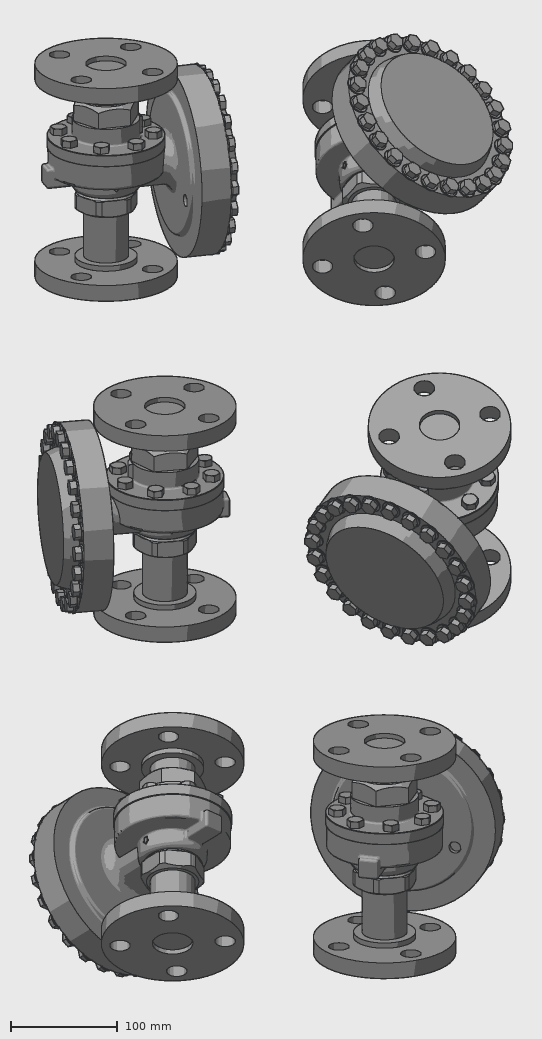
import cadquery as cq
import math


ARC_INSET = 1 - math.sqrt(0.5)

HEX_CHAMFER_ANGLE = math.radians(30)
CORNER_ON_Y = 90
FLAT_ON_X = 30

FACE_TO_FACE = 212.85
FLANGE_RADIUS = 66.7
FLANGE_THICKNESS = 15.9
FLANGE_BOLT_CIRCLE = 98.6
FLANGE_HOLE_DIAMETER = 19.05
FLANGE_HOLES = 4
HUB_RADIUS = 29.1
HUB_HEIGHT = 5.2
BORE_RADIUS = 18.9
BORE_DEPTH = 4.7
PIPE_RADIUS = 21.1

UPPER_HEX_FLATS = 54.7
UPPER_HEX_BOTTOM = 52.3
UPPER_HEX_TOP = 72.0
UPPER_HEX_END_RADIUS = 24.3

COVER_RADIUS = 55.35
COVER_BOTTOM = 23.7
COVER_TOP = 35.1
BOSS_RADIUS = 31.8
COVER_CHAMFER = 0.5
BOSS_FILLET = 1.8
BOSS_RIB_REACH = 34.6
BOSS_RIB_WIDTH = 10.0
BOSS_RIB_TOP = 51.5
BOSS_RIB_ROUND = 2.0
COVER_BOLTS = 8
COVER_BOLT_RADIUS = 44.6
COVER_BOLT_FLATS = 14.0
BOLT_HEAD_HEIGHT = 6.6

BODY_RADIUS = 54.6
BODY_BOTTOM_RADIUS = 54.4
BODY_BOTTOM = -0.3
BODY_EDGE_ROUND = 2.7
CHAMBER_RADIUS = 32.8
CHAMBER_FOOT_RADIUS = 32.2
CHAMBER_ROUND_TOP = -12.5
CHAMBER_BOTTOM = -18.6
CHAMBER_WAIST_RADIUS = 26.8
CHAMBER_TOP_FILLET = 2.2

LOWER_HEX_FLATS = 54.0
LOWER_HEX_CORNER_RADIUS = 29.7
LOWER_HEX_BOTTOM = -38.6
LOWER_HEX_TOP = -21.0
LOWER_HEX_TOP_RADIUS = 28.2
LOWER_HEX_BOTTOM_RADIUS = 24.5

LUG_WIDTH = 19.6
LUG_FRONT = -60.5
LUG_ROOT = -28.0
LUG_BOTTOM = -9.5
LUG_TOP = 9.7
LUG_ROUND = 2.4
LUG_ROOT_FILLET = 2.2

ARROW_TOP = -2.7
ARROW_TIP = -10.2
ARROW_HEAD_LENGTH = 3.4
ARROW_HEAD_HALF = 3.5
ARROW_SHAFT_HALF = 2.0
ARROW_REACH = 33.5
ARROW_ROOT = 30.0

CASING_RADIUS = 89.5
CASING_FRONT = 66.5
CASING_BACK = 95.1
OVERALL_DEPTH = 175.73
DOME_BACK = OVERALL_DEPTH - FLANGE_RADIUS
DOME_BASE_RADIUS = 67.5
DOME_SHOULDER_RADIUS = 65.2
DOME_SHOULDER = 103.0
DOME_END_RADIUS = 62.3
RIDGE_RADIUS = 68.3
RIDGE_FRONT = 62.0
CONE_APEX = 60.9
RIDGE_ROUND = (CASING_FRONT - RIDGE_FRONT) / 2
CASING_BOLTS = 24
CASING_BOLT_RADIUS = 81.5
CASING_BOLT_FLATS = 13.0
WASHER_RADIUS = 9.0
WASHER_THICKNESS = 1.4
CASING_HEAD_TOP = 102.9
VENT_X = 51.5
VENT_Z = -19.0
VENT_RADIUS = 5.6
VENT_DEPTH = 5.0

NECK_WIDTH = 51.6
NECK_HEIGHT = 41.8
NECK_Z = 3.8
NECK_FILLET = 9.5


def disc(radius, bottom, top):
    """Cylinder on the valve axis between two heights."""
    return cq.Workplane("XY").workplane(offset=bottom).circle(radius).extrude(top - bottom)


def corner_radius(flats):
    """Corner radius of a hexagon from its width across flats."""
    return flats / 2 / math.cos(math.pi / 6)


def hexagon(flats, height):
    """Hexagonal prism with a corner on +X, standing on the XY plane."""
    return cq.Workplane("XY").polygon(6, 2 * corner_radius(flats)).extrude(height)


def coned_hexagon(flats, height, turned_radius, end_radius):
    """Hexagonal prism whose corners are turned down and whose top end is coned."""
    drop = (turned_radius - end_radius) * math.tan(HEX_CHAMFER_ANGLE)
    envelope = (
        cq.Workplane("XZ")
        .lineTo(turned_radius, 0)
        .lineTo(turned_radius, height - drop)
        .lineTo(end_radius, height)
        .lineTo(0, height)
        .close()
        .revolve(360, (0, 0, 0), (0, 1, 0))
    )
    return hexagon(flats, height).intersect(envelope)


def turned_about_z(shape, degrees):
    """Shape turned about the Z axis."""
    return shape.rotate((0, 0, 0), (0, 0, 1), degrees)


def mirrored(shape):
    """Shape reflected through the XY plane."""
    return shape.mirror("XY")


def polar_places(count, radius, first_angle):
    """Points evenly spaced on a circle, with their angles in degrees."""
    places = []
    for index in range(count):
        degrees = first_angle + index * 360 / count
        angle = math.radians(degrees)
        places.append((radius * math.cos(angle), radius * math.sin(angle), degrees))
    return places


def make_flange():
    """Flange with its face at the top end; the hub points down."""
    face = FACE_TO_FACE / 2
    back = face - FLANGE_THICKNESS
    flange = disc(FLANGE_RADIUS, back, face)
    for x, y, _ in polar_places(FLANGE_HOLES, FLANGE_BOLT_CIRCLE / 2, 180 / FLANGE_HOLES):
        flange = flange.cut(disc(FLANGE_HOLE_DIAMETER / 2, back, face).translate((x, y, 0)))
    return flange.union(disc(HUB_RADIUS, back - HUB_HEIGHT, back))


def make_bore():
    """Blind bore in the upper flange face."""
    return disc(BORE_RADIUS, FACE_TO_FACE / 2 - BORE_DEPTH, FACE_TO_FACE / 2)


def make_upper_hex():
    """Union hexagon with corners on the Y axis and a coned top end."""
    height = UPPER_HEX_TOP - UPPER_HEX_BOTTOM
    union_hex = coned_hexagon(UPPER_HEX_FLATS, height, corner_radius(UPPER_HEX_FLATS), UPPER_HEX_END_RADIUS)
    return turned_about_z(union_hex, CORNER_ON_Y).translate((0, 0, UPPER_HEX_BOTTOM))


def make_lower_hex():
    """Union hexagon with corners on the Y axis, built as two halves coned at their outer ends."""
    half = (LOWER_HEX_TOP - LOWER_HEX_BOTTOM) / 2
    upper = coned_hexagon(LOWER_HEX_FLATS, half, LOWER_HEX_CORNER_RADIUS, LOWER_HEX_TOP_RADIUS)
    lower = coned_hexagon(LOWER_HEX_FLATS, half, LOWER_HEX_CORNER_RADIUS, LOWER_HEX_BOTTOM_RADIUS)
    union_hex = upper.union(mirrored(lower)).clean()
    return turned_about_z(union_hex, CORNER_ON_Y).translate((0, 0, LOWER_HEX_BOTTOM + half))


def make_cover():
    """Bolted cover with a filleted boss and a small rib on the boss's +Y side."""
    plate = disc(COVER_RADIUS, COVER_BOTTOM, COVER_TOP).faces("<Z or >Z").chamfer(COVER_CHAMFER)
    cover = plate.union(disc(BOSS_RADIUS, COVER_TOP, UPPER_HEX_BOTTOM))
    boss_foot = cq.selectors.RadiusNthSelector(0)
    cover = cover.faces("<Z[-2]").edges(boss_foot).fillet(BOSS_FILLET)
    rib = (
        cq.Workplane("XY")
        .workplane(offset=COVER_BOTTOM)
        .rect(BOSS_RIB_WIDTH, BOSS_RIB_REACH, centered=(True, False))
        .extrude(BOSS_RIB_TOP - COVER_BOTTOM)
        .edges(">Y and (not <Z)")
        .fillet(BOSS_RIB_ROUND)
    )
    cover = cover.union(rib)
    bolt_corner = corner_radius(COVER_BOLT_FLATS)
    head = coned_hexagon(COVER_BOLT_FLATS, BOLT_HEAD_HEIGHT, bolt_corner, COVER_BOLT_FLATS / 2)
    for x, y, degrees in polar_places(COVER_BOLTS, COVER_BOLT_RADIUS, 180 / COVER_BOLTS):
        cover = cover.union(turned_about_z(head, degrees).translate((x, y, COVER_TOP)))
    return cover


def make_body():
    """Tapered body with a rounded lower edge, above a narrower round-bottomed chamber."""
    body_arc = BODY_EDGE_ROUND * ARC_INSET
    fillet_arc = CHAMBER_TOP_FILLET * ARC_INSET
    return (
        cq.Workplane("XZ")
        .moveTo(0, COVER_BOTTOM)
        .lineTo(BODY_RADIUS, COVER_BOTTOM)
        .lineTo(BODY_BOTTOM_RADIUS, BODY_BOTTOM + BODY_EDGE_ROUND)
        .threePointArc(
            (BODY_BOTTOM_RADIUS - body_arc, BODY_BOTTOM + body_arc),
            (BODY_BOTTOM_RADIUS - BODY_EDGE_ROUND, BODY_BOTTOM),
        )
        .lineTo(CHAMBER_RADIUS + CHAMBER_TOP_FILLET, BODY_BOTTOM)
        .threePointArc(
            (CHAMBER_RADIUS + fillet_arc, BODY_BOTTOM - fillet_arc),
            (CHAMBER_RADIUS, BODY_BOTTOM - CHAMBER_TOP_FILLET),
        )
        .lineTo(CHAMBER_FOOT_RADIUS, CHAMBER_ROUND_TOP)
        .tangentArcPoint((CHAMBER_WAIST_RADIUS, CHAMBER_BOTTOM), relative=False)
        .lineTo(LOWER_HEX_TOP_RADIUS, LOWER_HEX_TOP)
        .lineTo(0, LOWER_HEX_TOP)
        .close()
        .revolve(360, (0, 0, 0), (0, 1, 0))
    )


def make_lug():
    """Rounded block on the -Y side, reaching from the chamber past the body rim."""
    return (
        cq.Workplane("XY")
        .box(LUG_WIDTH, LUG_ROOT - LUG_FRONT, LUG_TOP - LUG_BOTTOM, centered=(True, False, False))
        .translate((0, LUG_FRONT, LUG_BOTTOM))
        .edges("|Y or <Y")
        .fillet(LUG_ROUND)
    )


def add_lug(body):
    """Join the lug to the body and blend the joint all round."""
    joint = cq.selectors.BoxSelector(
        (-LUG_WIDTH, LUG_FRONT + LUG_ROUND, LUG_BOTTOM - LUG_ROUND),
        (LUG_WIDTH, LUG_ROOT, LUG_TOP + LUG_ROUND),
    )
    return body.union(make_lug()).edges(joint).edges("not |Y").fillet(LUG_ROOT_FILLET)


def make_arrows():
    """Downward arrows standing slightly proud of the chamber on -X and +X."""
    head_z = ARROW_TIP + ARROW_HEAD_LENGTH
    arrow = (
        cq.Workplane("YZ")
        .workplane(offset=ARROW_ROOT)
        .moveTo(0, ARROW_TIP)
        .lineTo(ARROW_HEAD_HALF, head_z)
        .lineTo(ARROW_SHAFT_HALF, head_z)
        .lineTo(ARROW_SHAFT_HALF, ARROW_TOP)
        .lineTo(-ARROW_SHAFT_HALF, ARROW_TOP)
        .lineTo(-ARROW_SHAFT_HALF, head_z)
        .lineTo(-ARROW_HEAD_HALF, head_z)
        .close()
        .extrude(ARROW_REACH - ARROW_ROOT)
    )
    return arrow.union(arrow.mirror("YZ"))


def make_casing_blank():
    """Turned casing: shallow front cone, rounded ridge, clamped rim and rear dome."""
    arc = RIDGE_ROUND * ARC_INSET
    ridge_middle = (CASING_FRONT + RIDGE_FRONT) / 2
    profile = (
        cq.Workplane("XY")
        .moveTo(0, CONE_APEX)
        .lineTo(RIDGE_RADIUS - RIDGE_ROUND, RIDGE_FRONT)
        .threePointArc((RIDGE_RADIUS - arc, RIDGE_FRONT + arc), (RIDGE_RADIUS, ridge_middle))
        .threePointArc((RIDGE_RADIUS + arc, CASING_FRONT - arc), (RIDGE_RADIUS + RIDGE_ROUND, CASING_FRONT))
        .lineTo(CASING_RADIUS, CASING_FRONT)
        .lineTo(CASING_RADIUS, CASING_BACK)
        .lineTo(DOME_BASE_RADIUS, CASING_BACK)
        .lineTo(DOME_SHOULDER_RADIUS, DOME_SHOULDER)
        .lineTo(DOME_END_RADIUS, DOME_BACK)
        .lineTo(0, DOME_BACK)
        .close()
    )
    return profile.revolve(360, (0, 0, 0), (0, 1, 0))


def make_neck():
    """Flat-topped oval neck along Y, from the valve axis into the casing."""
    return (
        cq.Workplane("XZ")
        .center(0, NECK_Z)
        .slot2D(NECK_WIDTH, NECK_HEIGHT)
        .extrude(-CASING_FRONT)
    )


def add_neck(casing):
    """Join the neck to the casing front and flare the joint."""
    joint = cq.selectors.BoxSelector(
        (-NECK_WIDTH, CONE_APEX, -NECK_HEIGHT),
        (NECK_WIDTH, RIDGE_FRONT, NECK_HEIGHT),
    )
    return casing.union(make_neck()).edges(joint).fillet(NECK_FILLET)


def make_casing_bolts():
    """Washers and hexagon heads around the rear face of the rim."""
    head_height = CASING_HEAD_TOP - CASING_BACK
    head = turned_about_z(hexagon(CASING_BOLT_FLATS, head_height), FLAT_ON_X)
    bolt = disc(WASHER_RADIUS, 0, WASHER_THICKNESS).union(head)
    ring = None
    for x, y, degrees in polar_places(CASING_BOLTS, CASING_BOLT_RADIUS, 0):
        placed = turned_about_z(bolt, degrees).translate((x, y, 0))
        ring = placed if ring is None else ring.union(placed)
    return ring.rotate((0, 0, 0), (1, 0, 0), -90).translate((0, CASING_BACK, 0))


def make_vent():
    """Blind hole in the casing front, parallel to Y."""
    return (
        cq.Workplane("XZ")
        .center(VENT_X, VENT_Z)
        .circle(VENT_RADIUS)
        .extrude(-(RIDGE_FRONT + VENT_DEPTH))
    )


pipe_end = FACE_TO_FACE / 2 - FLANGE_THICKNESS
flange = make_flange()
body = add_lug(make_body())
casing = add_neck(make_casing_blank()).cut(make_vent()).union(make_casing_bolts())
result = (
    disc(PIPE_RADIUS, -pipe_end, pipe_end)
    .union(flange)
    .union(mirrored(flange))
    .union(body)
    .union(make_arrows())
    .union(casing)
    .union(make_cover())
    .union(make_upper_hex())
    .union(make_lower_hex())
    .cut(make_bore())
    .cut(mirrored(make_bore()))
)